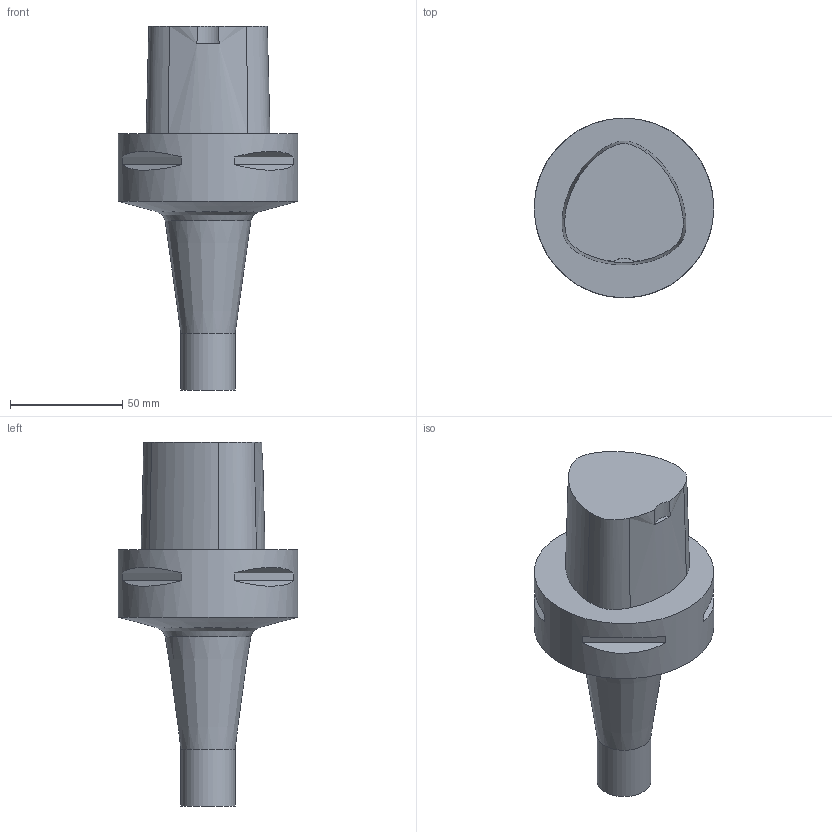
import cadquery as cq
import math

SPIGOT_HEIGHT = 48.0
FLANGE_HEIGHT = 30.0
CONE_HEIGHT = 5.5
NECK_END_DEPTH = 88.8
TOTAL_DEPTH = 114.0

FLANGE_DIAMETER = 80.0
NECK_TOP_DIAMETER = 39.0
SHANK_DIAMETER = 24.1
CONE_ROOT_FILLET = 5.0

SPIGOT_BASE_WIDTH = 55.15
SPIGOT_TAPER = 1 / 20
LOBE_RISE = 2.2
LOBE_COUNT = 3
FIRST_LOBE_ANGLE = 90
HALF_LOBE_ANGLE = 34
POINTS_PER_FACE = 7

KEYWAY_RADIUS = 8.0
KEYWAY_DEPTH = 8.0
KEYWAY_BACK_Y = -22.4

GROOVE_COUNT = 4
GROOVE_START_ANGLE = 45
GROOVE_CENTRE_DEPTH = 12.0
GROOVE_FLOOR_WIDTH = 3.5
GROOVE_FLOOR_DISTANCE = 35.4
GROOVE_FLANK_ANGLE = 28


def turned_body():
    """Flange, underside cone, tapered neck and cylindrical shank, as one revolve."""
    flange_radius = FLANGE_DIAMETER / 2
    neck_radius = NECK_TOP_DIAMETER / 2
    shank_radius = SHANK_DIAMETER / 2
    cone_end = FLANGE_HEIGHT + CONE_HEIGHT
    body = (
        cq.Workplane("XZ")
        .moveTo(0, 0)
        .lineTo(flange_radius, 0)
        .lineTo(flange_radius, -FLANGE_HEIGHT)
        .lineTo(neck_radius, -cone_end)
        .lineTo(shank_radius, -NECK_END_DEPTH)
        .lineTo(shank_radius, -TOTAL_DEPTH)
        .lineTo(0, -TOTAL_DEPTH)
        .close()
        .revolve(360, (0, 0, 0), (0, 1, 0))
    )
    cone_root = cq.selectors.NearestToPointSelector((neck_radius, 0, -cone_end))
    return body.edges("%CIRCLE").edges(cone_root).fillet(CONE_ROOT_FILLET)


def spigot_point(height, lobe_offset):
    """Point and tangent of the profile where its normal is lobe_offset degrees past the first lobe."""
    phase = math.radians(LOBE_COUNT * lobe_offset)
    mean_distance = (SPIGOT_BASE_WIDTH - height * SPIGOT_TAPER) / 2
    distance = mean_distance + LOBE_RISE * math.cos(phase)
    slide = -LOBE_COUNT * LOBE_RISE * math.sin(phase)
    normal = math.radians(FIRST_LOBE_ANGLE + lobe_offset)
    normal_x = math.cos(normal)
    normal_y = math.sin(normal)
    x = distance * normal_x - slide * normal_y
    y = distance * normal_y + slide * normal_x
    return cq.Vector(x, y, height), cq.Vector(-normal_y, normal_x, 0)


def spigot_curve(height, start_angle, end_angle):
    """Stretch of the profile between two normal angles, as one smooth edge."""
    step = (end_angle - start_angle) / (POINTS_PER_FACE - 1)
    samples = [spigot_point(height, start_angle + index * step) for index in range(POINTS_PER_FACE)]
    points = [point for point, _ in samples]
    end_tangents = [samples[0][1], samples[-1][1]]
    return cq.Edge.makeSpline(points, tangents=end_tangents)


def spigot_profile(height):
    """Closed profile at the given height, as lobe and flank edges in turn."""
    pitch = 360 / LOBE_COUNT
    edges = []
    for index in range(LOBE_COUNT):
        lobe_angle = index * pitch
        lobe_end = lobe_angle + HALF_LOBE_ANGLE
        flank_end = lobe_angle + pitch - HALF_LOBE_ANGLE
        edges.append(spigot_curve(height, lobe_angle - HALF_LOBE_ANGLE, lobe_end))
        edges.append(spigot_curve(height, lobe_end, flank_end))
    return cq.Wire.assembleEdges(edges)


def spigot():
    """Tapered three-lobed spigot with its keyway."""
    wires = [spigot_profile(0), spigot_profile(SPIGOT_HEIGHT)]
    solid = cq.Workplane("XY").newObject([cq.Solid.makeLoft(wires, True)])
    keyway = (
        cq.Workplane("XY")
        .workplane(offset=SPIGOT_HEIGHT - KEYWAY_DEPTH)
        .center(0, KEYWAY_BACK_Y - KEYWAY_RADIUS)
        .circle(KEYWAY_RADIUS)
        .extrude(KEYWAY_DEPTH)
    )
    return solid.cut(keyway)


def gripper_groove(angle):
    """Straight flared groove, cut into the flange rim at the given angle."""
    rim_distance = FLANGE_DIAMETER / 2
    depth = rim_distance - GROOVE_FLOOR_DISTANCE
    half_floor = GROOVE_FLOOR_WIDTH / 2
    half_mouth = half_floor + depth * math.tan(math.radians(GROOVE_FLANK_ANGLE))
    return (
        cq.Workplane("XZ")
        .center(0, -GROOVE_CENTRE_DEPTH)
        .moveTo(GROOVE_FLOOR_DISTANCE, -half_floor)
        .lineTo(rim_distance, -half_mouth)
        .lineTo(rim_distance, half_mouth)
        .lineTo(GROOVE_FLOOR_DISTANCE, half_floor)
        .close()
        .extrude(FLANGE_DIAMETER / 2, both=True)
        .rotate((0, 0, 0), (0, 0, 1), angle)
    )


result = turned_body().union(spigot())
for index in range(GROOVE_COUNT):
    result = result.cut(gripper_groove(GROOVE_START_ANGLE + index * 360 / GROOVE_COUNT))